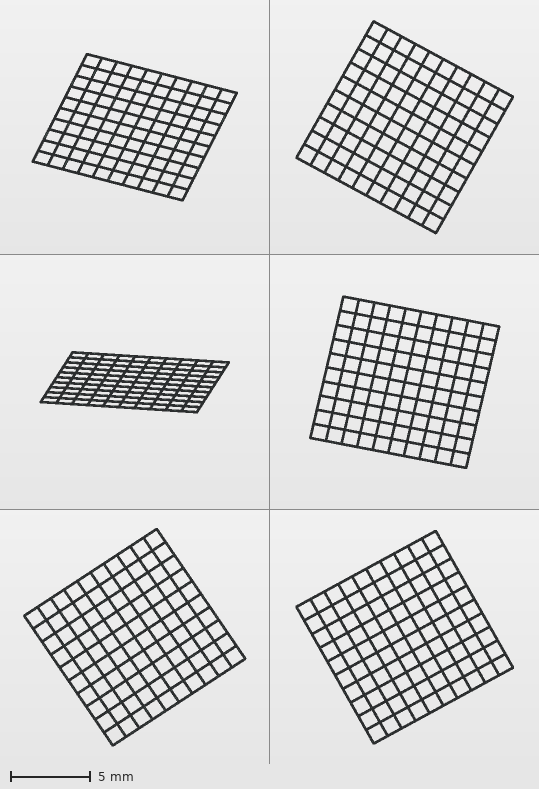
import cadquery as cq

outer_size = 10.1
wire_diameter = 0.1
cells_per_side = 10

wire_length = outer_size - wire_diameter
pitch = wire_length / cells_per_side
first_wire = -wire_length / 2
wire_offsets = [first_wire + i * pitch for i in range(cells_per_side + 1)]


def wire_set(plane):
    """Parallel round wires, running along the normal of a vertical plane."""
    return (
        cq.Workplane(plane)
        .workplane(offset=-wire_length / 2)
        .pushPoints([(offset, 0) for offset in wire_offsets])
        .circle(wire_diameter / 2)
        .extrude(wire_length)
    )


wires_along_x = wire_set("YZ")
wires_along_y = wire_set("XZ")

result = wires_along_x.union(wires_along_y).solids()